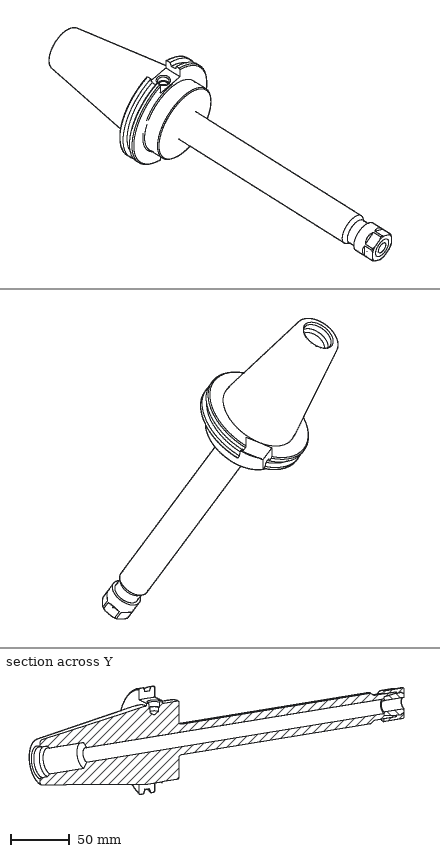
import cadquery as cq
import math

OVERALL_LENGTH = 358.5

TAPER_LENGTH = 102.0
TAPER_LARGE_RADIUS = 70.0 / 2
TAPER_RATIO = 7 / 24
TAPER_END_FILLET = 3.0

FLANGE_START = 104.7
FLANGE_END = 120.5
FLANGE_RADIUS = 98.0 / 2
FLANGE_CHAMFER = 1.0
GROOVE_CENTER = 113.0
GROOVE_MOUTH_WIDTH = 7.0
GROOVE_FLOOR_WIDTH = 4.3
GROOVE_DEPTH = 3.5
SLOT_WIDTH = 25.0
UPPER_SLOT_HEIGHT = 37.3
LOWER_SLOT_HEIGHT = 35.0

SLOT_HOLE_MOUTH_DIAMETER = 12.2
SLOT_HOLE_STEP_DIAMETER = 10.0
SLOT_HOLE_STEP_DEPTH = 5.5
SLOT_HOLE_DRILL_DIAMETER = 8.0
SLOT_HOLE_DEPTH = 9.0
DRILL_HALF_ANGLE = 59

COLLAR_END = 137.0
COLLAR_RADIUS = TAPER_LARGE_RADIUS
COLLAR_CHAMFER = 0.9
COLLAR_ROOT_FILLET = 1.0
SHAFT_RADIUS = 27.5 / 2
SHAFT_ROOT_FILLET = 2.5
SHAFT_END = 325.5
NOSE_RADIUS = 22.5 / 2
NOSE_BEVEL_LENGTH = 3.5
NOSE_END = 351.5

MOUTH_RADIUS = 29.0 / 2
MOUTH_CHAMFER_LENGTH = 1.8
PILOT_RADIUS = 27.0 / 2
PILOT_END = 7.0
BORE_START = 9.7
BORE_RADIUS = 22.5 / 2
BORE_DEPTH = 43.0
CHANNEL_RADIUS = 12.5 / 2

COLLET_REAR_RADIUS = 16.0 / 2
COLLET_SHOULDER_RADIUS = 20.8 / 2
COLLET_FRONT_RADIUS = 17.2 / 2
COLLET_BORE_RADIUS = 9.7 / 2
COLLET_TAPER_ANGLE = 8
COLLET_FRONT_ANGLE = 30

NUT_START = 338.5
NUT_RADIUS = 27.5 / 2
NUT_FLAT_START = 349.7
NUT_ACROSS_FLATS = 24.7
NUT_FLAT_COUNT = 6
NUT_EDGE_CHAMFER = 0.9

flange_middle = (FLANGE_START + FLANGE_END) / 2
shoulder_x = OVERALL_LENGTH - (COLLET_SHOULDER_RADIUS - COLLET_FRONT_RADIUS) / math.tan(
    math.radians(COLLET_FRONT_ANGLE))
collet_rear_x = shoulder_x - (COLLET_SHOULDER_RADIUS - COLLET_REAR_RADIUS) / math.tan(
    math.radians(COLLET_TAPER_ANGLE))
seat_mouth_radius = COLLET_REAR_RADIUS + (NOSE_END - collet_rear_x) * math.tan(
    math.radians(COLLET_TAPER_ANGLE))


def turned(points):
    """Revolve a closed (x, radius) outline about the X axis."""
    return cq.Workplane("XY").polyline(points).close().revolve(360, (0, 0, 0), (1, 0, 0))


def taper_shank():
    small_radius = TAPER_LARGE_RADIUS - TAPER_LENGTH * TAPER_RATIO / 2
    shank = turned([
        (0, 0),
        (0, small_radius),
        (TAPER_LENGTH, TAPER_LARGE_RADIUS),
        (FLANGE_START, TAPER_LARGE_RADIUS),
        (FLANGE_START, 0),
    ])
    return shank.faces("<X").edges().fillet(TAPER_END_FILLET)


def flange_slot(floor_height, side):
    """Open drive slot above (side = 1) or below (side = -1) the axis."""
    length = FLANGE_END - FLANGE_START
    depth = FLANGE_RADIUS
    center = (flange_middle, 0, side * (floor_height + depth / 2))
    return cq.Workplane("XY").box(length, SLOT_WIDTH, depth).translate(center)


def slot_hole():
    """Chamfered, stepped blind hole with a drill point, running down from the upper slot floor."""
    mouth = SLOT_HOLE_MOUTH_DIAMETER / 2
    step = SLOT_HOLE_STEP_DIAMETER / 2
    drill = SLOT_HOLE_DRILL_DIAMETER / 2
    chamfer_depth = mouth - step
    point_depth = drill / math.tan(math.radians(DRILL_HALF_ANGLE))
    profile = cq.Workplane("XZ").polyline([
        (0, 0),
        (mouth, 0),
        (step, -chamfer_depth),
        (step, -SLOT_HOLE_STEP_DEPTH),
        (drill, -SLOT_HOLE_STEP_DEPTH),
        (drill, -SLOT_HOLE_DEPTH),
        (0, -SLOT_HOLE_DEPTH - point_depth),
    ]).close()
    hole = profile.revolve(360, (0, 0, 0), (0, 1, 0))
    return hole.translate((flange_middle, 0, UPPER_SLOT_HEIGHT))


def drive_flange():
    disc = turned([
        (FLANGE_START, 0),
        (FLANGE_START, FLANGE_RADIUS),
        (FLANGE_END, FLANGE_RADIUS),
        (FLANGE_END, 0),
    ]).faces("<X or >X").edges().chamfer(FLANGE_CHAMFER)
    half_floor = GROOVE_FLOOR_WIDTH / 2
    half_mouth = GROOVE_MOUTH_WIDTH / 2
    floor_radius = FLANGE_RADIUS - GROOVE_DEPTH
    groove = turned([
        (GROOVE_CENTER - half_mouth, FLANGE_RADIUS),
        (GROOVE_CENTER - half_floor, floor_radius),
        (GROOVE_CENTER + half_floor, floor_radius),
        (GROOVE_CENTER + half_mouth, FLANGE_RADIUS),
    ])
    return (
        disc.cut(groove)
        .cut(flange_slot(UPPER_SLOT_HEIGHT, 1))
        .cut(flange_slot(LOWER_SLOT_HEIGHT, -1))
    )


def filleted_outline(start_x, radius, fillet):
    """Start an outline on the axis and run it along a concave fillet onto a cylinder."""
    arc_offset = fillet * (1 - math.sqrt(0.5))
    return (
        cq.Workplane("XY")
        .moveTo(start_x, 0)
        .lineTo(start_x, radius + fillet)
        .threePointArc((start_x + arc_offset, radius + arc_offset), (start_x + fillet, radius))
    )


def collar():
    """Collar with a fillet at the flange and a chamfered front edge."""
    return (
        filleted_outline(FLANGE_END, COLLAR_RADIUS, COLLAR_ROOT_FILLET)
        .lineTo(COLLAR_END - COLLAR_CHAMFER, COLLAR_RADIUS)
        .lineTo(COLLAR_END, COLLAR_RADIUS - COLLAR_CHAMFER)
        .lineTo(COLLAR_END, 0)
        .close()
        .revolve(360, (0, 0, 0), (1, 0, 0))
    )


def shaft():
    """Shaft with a flared root at the collar and a bevel down to the nose."""
    return (
        filleted_outline(COLLAR_END, SHAFT_RADIUS, SHAFT_ROOT_FILLET)
        .lineTo(SHAFT_END, SHAFT_RADIUS)
        .lineTo(SHAFT_END + NOSE_BEVEL_LENGTH, NOSE_RADIUS)
        .lineTo(NOSE_END, NOSE_RADIUS)
        .lineTo(NOSE_END, 0)
        .close()
        .revolve(360, (0, 0, 0), (1, 0, 0))
    )


def holder_bore():
    """Drawbar mouth and bore, drill point, channel and tapered collet seat."""
    drill_point = (BORE_RADIUS - CHANNEL_RADIUS) / math.tan(math.radians(DRILL_HALF_ANGLE))
    return turned([
        (0, 0),
        (0, MOUTH_RADIUS),
        (MOUTH_CHAMFER_LENGTH, PILOT_RADIUS),
        (PILOT_END, PILOT_RADIUS),
        (BORE_START, BORE_RADIUS),
        (BORE_DEPTH, BORE_RADIUS),
        (BORE_DEPTH + drill_point, CHANNEL_RADIUS),
        (collet_rear_x, CHANNEL_RADIUS),
        (collet_rear_x, COLLET_REAR_RADIUS),
        (NOSE_END, seat_mouth_radius),
        (NOSE_END, 0),
    ])


def make_holder():
    body = taper_shank().union(drive_flange()).union(collar()).union(shaft())
    return body.cut(holder_bore()).cut(slot_hole())


def make_collet():
    """Double-cone collet with a straight bore, flush with the nut face."""
    return turned([
        (collet_rear_x, COLLET_BORE_RADIUS),
        (collet_rear_x, COLLET_REAR_RADIUS),
        (shoulder_x, COLLET_SHOULDER_RADIUS),
        (OVERALL_LENGTH, COLLET_FRONT_RADIUS),
        (OVERALL_LENGTH, COLLET_BORE_RADIUS),
    ])


def nut_flat_cut(angle):
    """Material outside one wrench flat, with a 45 degree shoulder at its rear end."""
    flat_height = NUT_ACROSS_FLATS / 2
    cut_height = NUT_RADIUS
    shoulder_length = cut_height
    return (
        cq.Workplane("XY")
        .polyline([
            (NUT_FLAT_START, flat_height),
            (OVERALL_LENGTH, flat_height),
            (OVERALL_LENGTH, flat_height + cut_height),
            (NUT_FLAT_START - shoulder_length, flat_height + cut_height),
        ])
        .close()
        .extrude(NUT_RADIUS, both=True)
        .rotate((0, 0, 0), (1, 0, 0), angle)
    )


def make_nut():
    """Round nut with six flats at its front, bored to fit the nose and the collet."""
    blank = turned([
        (NUT_START, 0),
        (NUT_START, NUT_RADIUS),
        (OVERALL_LENGTH, NUT_RADIUS),
        (OVERALL_LENGTH, 0),
    ]).faces(">X").edges().chamfer(NUT_EDGE_CHAMFER)

    cavity = turned([
        (NUT_START, 0),
        (NUT_START, NOSE_RADIUS),
        (NOSE_END, NOSE_RADIUS),
        (NOSE_END, seat_mouth_radius),
        (shoulder_x, COLLET_SHOULDER_RADIUS),
        (OVERALL_LENGTH, COLLET_FRONT_RADIUS),
        (OVERALL_LENGTH, 0),
    ])
    nut_body = blank.cut(cavity)
    for index in range(NUT_FLAT_COUNT):
        nut_body = nut_body.cut(nut_flat_cut(index * 360 / NUT_FLAT_COUNT))
    return nut_body


holder = make_holder()
collet = make_collet()
nut = make_nut()
result = cq.Compound.makeCompound([holder.val(), collet.val(), nut.val()])